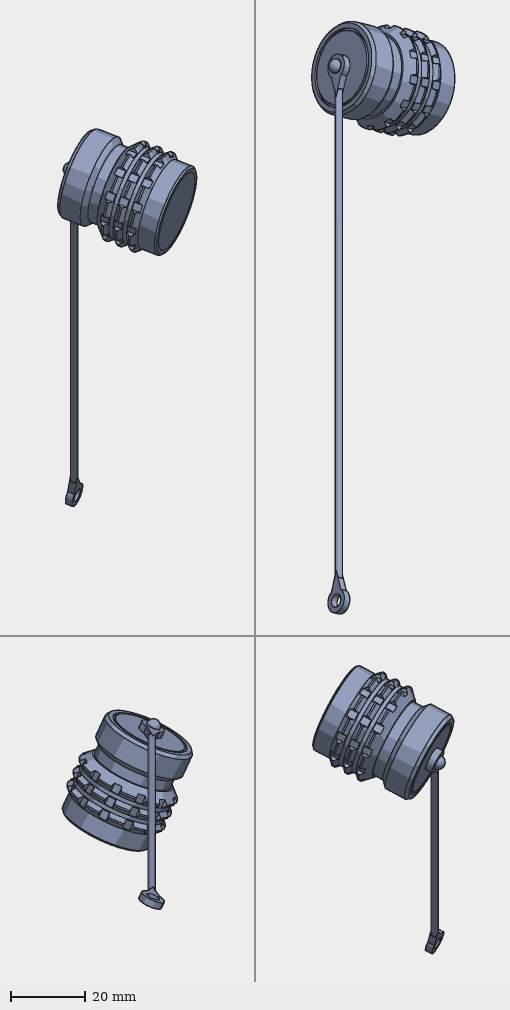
import cadquery as cq
import math


cord_diameter = 2.0
eyelet_radius = 3.4
eyelet_hole_radius = 1.8
eyelet_thickness = cord_diameter
web_half_width = 2.9
web_length = 8.5
cord_end_offset = 6.4
overall_height = 168.0

stud_radius = 2.0
stud_neck_radius = eyelet_hole_radius
cap_radius = 13.0
cap_front_x = stud_radius + eyelet_thickness
front_chamfer_length = 1.0
front_chamfer_height = 0.7
back_chamfer_x = 11.1
back_chamfer = 1.2
neck_start_x = 12.6
neck_radius = 11.3
groove_inner_radius = 10.2
groove_outer_radius = 11.0
groove_depth = 0.7

sleeve_start_x = 15.6
sleeve_end_x = 33.8
sleeve_radius = cap_radius
sleeve_end_chamfer = 0.5
crest_radius = 14.5
crest_half_width = 0.25
valley_radius = 13.3
ridge_count = 3
ridge_pitch = 4.0
first_ridge_x = 18.5

notch_count = 12
notch_angle = 360 / notch_count
notch_floor = 13.5
notch_floor_width = 2.2
notch_top_width = 3.0
notch_overcut = 1.7

lower_eyelet_z = crest_radius - overall_height + eyelet_radius


def revolve_about_x(profile):
    """Revolve a profile drawn as (x, radius) about the cap axis."""
    return profile.close().revolve(360, (0, 0, 0), (1, 0, 0))


def make_cap():
    dome_rise = stud_radius / math.sqrt(2)
    profile = (
        cq.Workplane("XY")
        .moveTo(0, 0)
        .threePointArc((stud_radius - dome_rise, dome_rise), (stud_radius, stud_radius))
        .lineTo(stud_radius, stud_neck_radius)
        .lineTo(cap_front_x, stud_neck_radius)
        .lineTo(cap_front_x, groove_inner_radius)
        .lineTo(cap_front_x + groove_depth, groove_inner_radius)
        .lineTo(cap_front_x + groove_depth, groove_outer_radius)
        .lineTo(cap_front_x, groove_outer_radius)
        .lineTo(cap_front_x, cap_radius - front_chamfer_height)
        .lineTo(cap_front_x + front_chamfer_length, cap_radius)
        .lineTo(back_chamfer_x, cap_radius)
        .lineTo(back_chamfer_x + back_chamfer, cap_radius - back_chamfer)
        .lineTo(neck_start_x, neck_radius)
        .lineTo(sleeve_end_x, neck_radius)
        .lineTo(sleeve_end_x, 0)
    )
    return revolve_about_x(profile)


def make_notch_cutter():
    """Bar along X with a trapezoid section that widens outwards from the notch floor."""
    top = crest_radius + notch_overcut
    flare = (notch_top_width - notch_floor_width) / 2 / (crest_radius - notch_floor)
    half_floor = notch_floor_width / 2
    half_top = half_floor + flare * (top - notch_floor)
    return (
        cq.Workplane("YZ", origin=(sleeve_start_x, 0, 0))
        .moveTo(-half_floor, notch_floor)
        .lineTo(half_floor, notch_floor)
        .lineTo(half_top, top)
        .lineTo(-half_top, top)
        .close()
        .extrude(sleeve_end_x - sleeve_start_x)
    )


def make_sleeve():
    valley_run = crest_half_width + crest_radius - valley_radius
    first_flank_run = first_ridge_x - crest_half_width - sleeve_start_x
    last_ridge_x = first_ridge_x + (ridge_count - 1) * ridge_pitch

    profile = (
        cq.Workplane("XY")
        .moveTo(sleeve_start_x, neck_radius)
        .lineTo(sleeve_start_x, crest_radius - first_flank_run)
    )
    for index in range(ridge_count):
        ridge_x = first_ridge_x + index * ridge_pitch
        if index > 0:
            profile = profile.lineTo(ridge_x - valley_run, valley_radius)
        profile = profile.lineTo(ridge_x - crest_half_width, crest_radius)
        profile = profile.lineTo(ridge_x + crest_half_width, crest_radius)
        if index < ridge_count - 1:
            profile = profile.lineTo(ridge_x + valley_run, valley_radius)
    profile = (
        profile
        .lineTo(last_ridge_x + crest_half_width + crest_radius - sleeve_radius, sleeve_radius)
        .lineTo(sleeve_end_x - sleeve_end_chamfer, sleeve_radius)
        .lineTo(sleeve_end_x, sleeve_radius - sleeve_end_chamfer)
        .lineTo(sleeve_end_x, neck_radius)
    )
    sleeve = revolve_about_x(profile)

    cutter = make_notch_cutter()
    for index in range(notch_count):
        angle = (index + 0.5) * notch_angle
        sleeve = sleeve.cut(cutter.rotate((0, 0, 0), (1, 0, 0), angle))
    return sleeve


def make_eyelet(center_z, direction):
    """Flat ring with a web that tapers towards the cord; direction is +1 up or -1 down."""
    face = cq.Workplane("YZ", origin=(stud_radius, 0, center_z))
    ring = face.circle(eyelet_radius).extrude(eyelet_thickness)
    web = (
        face.moveTo(-web_half_width, 0)
        .lineTo(web_half_width, 0)
        .lineTo(0, direction * web_length)
        .close()
        .extrude(eyelet_thickness)
    )
    hole = face.circle(eyelet_hole_radius).extrude(eyelet_thickness)
    return ring.union(web).cut(hole)


def make_cord():
    cord_x = stud_radius + eyelet_thickness / 2
    cord_bottom_z = lower_eyelet_z + cord_end_offset
    cord = (
        cq.Workplane("XY", origin=(cord_x, 0, cord_bottom_z))
        .circle(cord_diameter / 2)
        .extrude(-cord_end_offset - cord_bottom_z)
    )
    return cord.union(make_eyelet(0, -1)).union(make_eyelet(lower_eyelet_z, 1))


cap = make_cap()
sleeve = make_sleeve()
cord = make_cord()

result = cq.Compound.makeCompound([cap.val(), sleeve.val(), cord.val()])